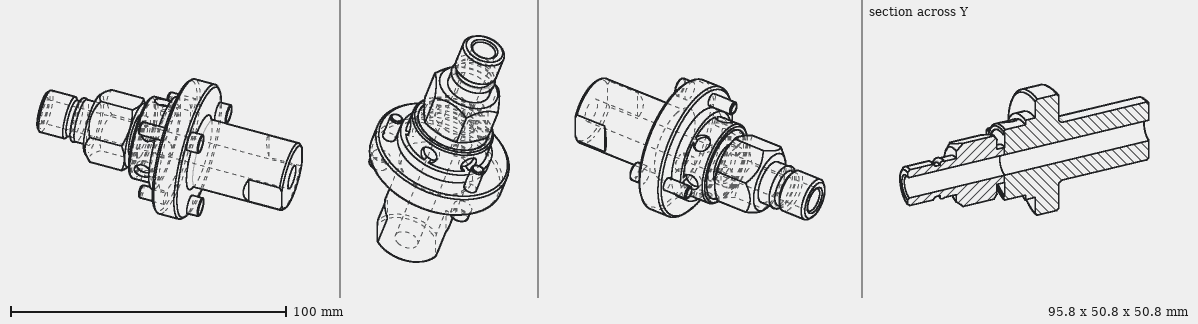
import cadquery as cq
import math

OVERALL_LENGTH = 95.8
THREAD_END = 10.3
GROOVE_START = 11.1
BEAD_START = 12.9
NUT_START = 19.4
NUT_END = 35.6
COLLAR_START = 38.0
STEP_START = 46.8
FLANGE_START = 50.6
FLANGE_END = 60.1
SCREW_TIP = 41.0
SCREW_HEAD_END = 64.4
FLAT_START = 83.1

NIPPLE_RADIUS = 15.8 / 2
GROOVE_RADIUS = 13.5 / 2
BEAD_RADIUS = 16.7 / 2
SHANK_RADIUS = 16.0 / 2
NECK_RADIUS = 15.5 / 2
TIP_CHAMFER = 1.0
BEAD_ROUND = 1.0
NUT_ACROSS_FLATS = 24.1
NUT_FRONT_FACE_RADIUS = 11.1
NUT_REAR_FACE_RADIUS = 11.9
NUT_FRONT_ANGLE = 45.0
NUT_REAR_ANGLE = 30.0
BORE_RADIUS = 8.7 / 2
BORE_CHAMFER = 0.7

COLLAR_RADIUS = 30.9 / 2
COLLAR_CHAMFER = 0.7
STEP_RADIUS = 34.9 / 2
FLANGE_RADIUS = 50.8 / 2
FLANGE_CHAMFER = 0.9
REAR_RADIUS = 25.4 / 2
REAR_FILLET = 1.9
REAR_FILLET_RADIUS_AT_FLANGE = 28.1 / 2
REAR_CHAMFER = 0.9
FLAT_OFFSET = 11.1

RECESS_RADIUS = 26.8 / 2
RECESS_DEPTH = 0.5
NOTCH_WIDTH = 4.4
NOTCH_DEPTH = 0.5

HOLE_RADIUS = 6.4 / 2
HOLE_COUNT = 6
HOLE_DEPTH = 2.4
HOLE_X = 43.7

SCREW_COUNT = 3
SCREW_CIRCLE_RADIUS = 20.6
SCREW_RADIUS = 4.8 / 2
SCREW_TIP_CHAMFER = 0.5
HEAD_RADIUS = 6.9 / 2
HEAD_CHAMFER = 0.3

RECESS_FLOOR = COLLAR_START + RECESS_DEPTH


def revolve_about_x(profile):
    """Turn a closed profile, drawn as X against radius, about the X axis."""
    return profile.close().revolve(360, (0, 0, 0), (1, 0, 0))


def cylinder_along_x(radius, start, end):
    return cq.Workplane("YZ").workplane(offset=start).circle(radius).extrude(end - start)


def make_nipple():
    bead_middle = BEAD_START + BEAD_ROUND
    bead_centre_radius = BEAD_RADIUS - BEAD_ROUND
    bead_end = bead_middle + math.sqrt(BEAD_ROUND**2 - (SHANK_RADIUS - bead_centre_radius) ** 2)
    profile = (
        cq.Workplane("XY")
        .moveTo(0, 0)
        .lineTo(0, NIPPLE_RADIUS - TIP_CHAMFER)
        .lineTo(TIP_CHAMFER, NIPPLE_RADIUS)
        .lineTo(THREAD_END, NIPPLE_RADIUS)
        .lineTo(GROOVE_START, GROOVE_RADIUS)
        .lineTo(BEAD_START, GROOVE_RADIUS)
        .lineTo(BEAD_START, bead_centre_radius)
        .threePointArc((bead_middle, BEAD_RADIUS), (bead_end, SHANK_RADIUS))
        .lineTo(NUT_START, SHANK_RADIUS)
        .lineTo(NUT_START, 0)
    )
    return revolve_about_x(profile)


def make_nut():
    corner_radius = NUT_ACROSS_FLATS / 2 / math.cos(math.radians(30))
    prism = (
        cq.Workplane("YZ")
        .workplane(offset=NUT_START)
        .polygon(6, 2 * corner_radius)
        .extrude(NUT_END - NUT_START)
        .rotate((0, 0, 0), (1, 0, 0), 30)
    )
    front_length = (corner_radius - NUT_FRONT_FACE_RADIUS) * math.tan(math.radians(NUT_FRONT_ANGLE))
    rear_length = (corner_radius - NUT_REAR_FACE_RADIUS) * math.tan(math.radians(NUT_REAR_ANGLE))
    envelope = (
        cq.Workplane("XY")
        .moveTo(NUT_START, 0)
        .lineTo(NUT_START, NUT_FRONT_FACE_RADIUS)
        .lineTo(NUT_START + front_length, corner_radius)
        .lineTo(NUT_END - rear_length, corner_radius)
        .lineTo(NUT_END, NUT_REAR_FACE_RADIUS)
        .lineTo(NUT_END, 0)
    )
    return prism.intersect(revolve_about_x(envelope))


def make_shaft():
    neck = cylinder_along_x(NECK_RADIUS, NUT_END, RECESS_FLOOR)
    shaft = make_nipple().union(make_nut()).union(neck)
    shaft = shaft.cut(cylinder_along_x(BORE_RADIUS, 0, RECESS_FLOOR))
    return shaft.cut(make_bore_chamfer())


def make_bore_chamfer():
    profile = (
        cq.Workplane("XY")
        .moveTo(0, 0)
        .lineTo(0, BORE_RADIUS + BORE_CHAMFER)
        .lineTo(BORE_CHAMFER, BORE_RADIUS)
        .lineTo(BORE_CHAMFER, 0)
    )
    return revolve_about_x(profile)


def make_housing_blank():
    """The collar, flange and rear cylinder, before the step and the cuts."""
    fillet_rise = REAR_FILLET_RADIUS_AT_FLANGE - REAR_RADIUS
    fillet_length = math.sqrt(REAR_FILLET**2 - (REAR_FILLET - fillet_rise) ** 2)
    profile = (
        cq.Workplane("XY")
        .moveTo(COLLAR_START, 0)
        .lineTo(COLLAR_START, COLLAR_RADIUS - COLLAR_CHAMFER)
        .lineTo(COLLAR_START + COLLAR_CHAMFER, COLLAR_RADIUS)
        .lineTo(FLANGE_START, COLLAR_RADIUS)
        .lineTo(FLANGE_START, FLANGE_RADIUS - FLANGE_CHAMFER)
        .lineTo(FLANGE_START + FLANGE_CHAMFER, FLANGE_RADIUS)
        .lineTo(FLANGE_END - FLANGE_CHAMFER, FLANGE_RADIUS)
        .lineTo(FLANGE_END, FLANGE_RADIUS - FLANGE_CHAMFER)
        .lineTo(FLANGE_END, REAR_FILLET_RADIUS_AT_FLANGE)
        .radiusArc((FLANGE_END + fillet_length, REAR_RADIUS), -REAR_FILLET)
        .lineTo(OVERALL_LENGTH - REAR_CHAMFER, REAR_RADIUS)
        .lineTo(OVERALL_LENGTH, REAR_RADIUS - REAR_CHAMFER)
        .lineTo(OVERALL_LENGTH, 0)
    )
    return revolve_about_x(profile)


def make_wrench_flat_cutter():
    """Cutter for the +Y flat, with a 45 degree run-out at its inner end."""
    run_out = REAR_RADIUS - FLAT_OFFSET
    return (
        cq.Workplane("XY")
        .moveTo(FLAT_START, FLAT_OFFSET)
        .lineTo(FLAT_START - 2 * run_out, FLAT_OFFSET + 2 * run_out)
        .lineTo(OVERALL_LENGTH, FLAT_OFFSET + 2 * run_out)
        .lineTo(OVERALL_LENGTH, FLAT_OFFSET)
        .close()
        .extrude(REAR_RADIUS, both=True)
    )


def make_recess():
    """Cutter for the recess in the collar face and for the notch in its floor."""
    recess = cylinder_along_x(RECESS_RADIUS, COLLAR_START, RECESS_FLOOR)
    notch_end = RECESS_FLOOR + NOTCH_DEPTH
    notch_band = (
        cq.Workplane("YZ")
        .workplane(offset=RECESS_FLOOR)
        .center(-(RECESS_RADIUS + NECK_RADIUS) / 2, 0)
        .rect(RECESS_RADIUS - NECK_RADIUS, NOTCH_WIDTH)
        .extrude(NOTCH_DEPTH)
    )
    notch = cylinder_along_x(RECESS_RADIUS, RECESS_FLOOR, notch_end).intersect(notch_band)
    return recess.union(notch)


def make_spanner_hole(angle):
    return (
        cq.Workplane("XZ")
        .workplane(offset=COLLAR_RADIUS - HOLE_DEPTH)
        .center(HOLE_X, 0)
        .circle(HOLE_RADIUS)
        .extrude(2 * HOLE_DEPTH)
        .rotate((0, 0, 0), (1, 0, 0), angle)
    )


def make_screw(angle):
    """One screw on the +Y side, turned about X to its place."""
    shank = cylinder_along_x(SCREW_RADIUS, SCREW_TIP, FLANGE_START).faces("<X").chamfer(SCREW_TIP_CHAMFER)
    head = cylinder_along_x(HEAD_RADIUS, FLANGE_END, SCREW_HEAD_END).faces(">X").chamfer(HEAD_CHAMFER)
    screw = shank.union(cylinder_along_x(SCREW_RADIUS, FLANGE_START, FLANGE_END)).union(head)
    return screw.translate((0, SCREW_CIRCLE_RADIUS, 0)).rotate((0, 0, 0), (1, 0, 0), angle)


def make_housing():
    housing = make_housing_blank()
    flat_cutter = make_wrench_flat_cutter()
    housing = housing.cut(flat_cutter).cut(flat_cutter.mirror("XZ"))
    for index in range(HOLE_COUNT):
        housing = housing.cut(make_spanner_hole(index * 360 / HOLE_COUNT))
    housing = housing.union(cylinder_along_x(STEP_RADIUS, STEP_START, FLANGE_START))
    for index in range(SCREW_COUNT):
        housing = housing.union(make_screw(index * 360 / SCREW_COUNT))
    housing = housing.cut(make_recess())
    return housing.cut(cylinder_along_x(BORE_RADIUS, COLLAR_START, OVERALL_LENGTH))


shaft = make_shaft()
housing = make_housing()

result = cq.Compound.makeCompound([shaft.solids().val(), housing.solids().val()])